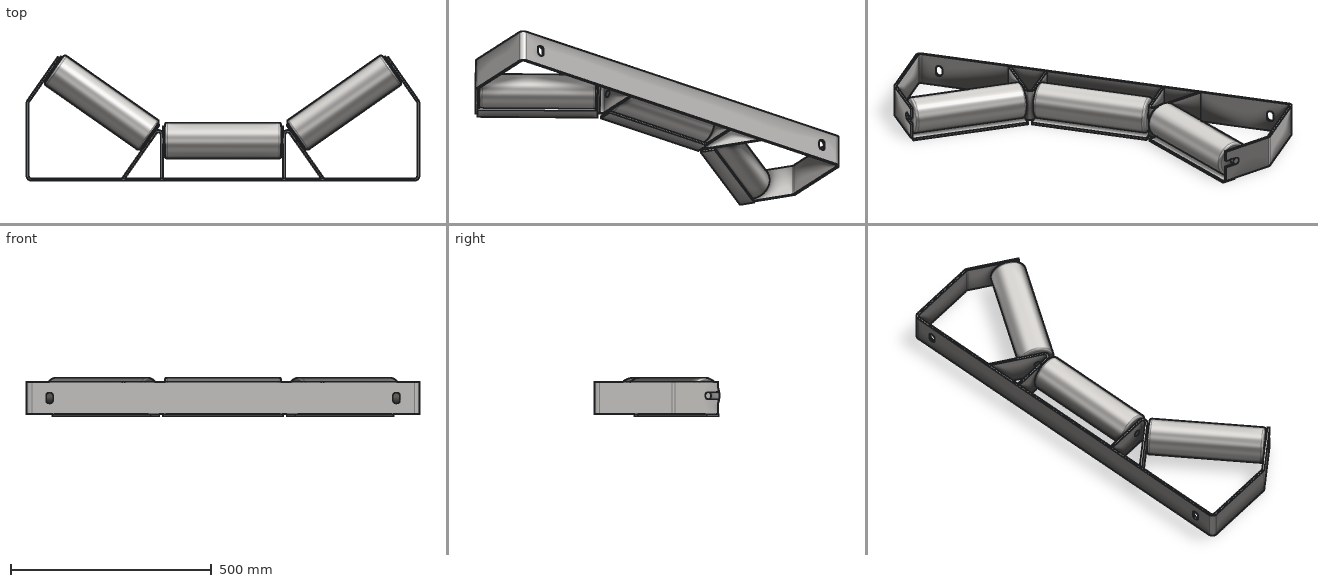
import cadquery as cq
import math

FRAME_LENGTH = 980.0
BAR_HEIGHT = 80.0
BAR_THICKNESS = 6.0
FRAME_BEND_RADIUS = 13.0
BRACKET_BEND_RADIUS = 12.0
KNEE_Y = 197.0
ARM_LENGTH = 136.0
TILT = 35.0

MOUNT_X = 432.0
MOUNT_SLOT_WIDTH = 18.0
MOUNT_SLOT_HEIGHT = 27.0

ROLLER_DIAMETER = 90.0
ROLLER_LENGTH = 290.0
ROLLER_EDGE_RADIUS = 6.0
AXLE_DIAMETER = 18.0
AXLE_Z = 6.0
AXLE_FROM_TIP = 30.0
CENTRE_ROLLER_Y = 100.0
PLATE_GAP = 299.0
AXLE_LENGTH = PLATE_GAP + 2 * BAR_THICKNESS

STRIP_LENGTH = 300.0
STRIP_WIDTH = 37.0
STRIP_THICKNESS = 6.0
STRIP_OFFSET = 18.0

HALF_LENGTH = FRAME_LENGTH / 2
BAR_BOTTOM = -BAR_HEIGHT / 2
COS = math.cos(math.radians(TILT))
SIN = math.sin(math.radians(TILT))


def along(point, direction, distance):
    return (point[0] + direction[0] * distance, point[1] + direction[1] * distance)


ARM_DIRECTION = (-SIN, COS)
AXIS_OUTWARD = (COS, SIN)

KNEE = (HALF_LENGTH, KNEE_Y)
ARM_TIP = along(KNEE, ARM_DIRECTION, ARM_LENGTH)
AXLE_END = along(KNEE, ARM_DIRECTION, ARM_LENGTH - AXLE_FROM_TIP)
SIDE_ROLLER_CENTRE = along(AXLE_END, AXIS_OUTWARD, -AXLE_LENGTH / 2)

ROLLER_PLACES = [
    (0, CENTRE_ROLLER_Y, 0),
    (SIDE_ROLLER_CENTRE[0], SIDE_ROLLER_CENTRE[1], TILT),
    (-SIDE_ROLLER_CENTRE[0], SIDE_ROLLER_CENTRE[1], -TILT),
]


def place(body, location):
    x, y, angle = location
    return body.rotate((0, 0, 0), (0, 0, 1), angle).translate((x, y, 0))


def inner_line(outer):
    """Corners of a line one bar thickness to the left of the outer line, mitred at the bends."""
    angles = [math.atan2(b[1] - a[1], b[0] - a[0]) for a, b in zip(outer, outer[1:])]
    before = angles[:1] + angles
    after = angles + angles[-1:]
    corners = []
    for point, angle_in, angle_out in zip(outer, before, after):
        normal = (angle_in + angle_out) / 2 + math.pi / 2
        reach = BAR_THICKNESS / math.cos((angle_out - angle_in) / 2)
        corners.append(along(point, (math.cos(normal), math.sin(normal)), reach))
    return corners


def bent_bar(outer, bend_radius):
    """Upright bar following the outer corners, with the bar to their left and rounded bends."""
    inner = inner_line(outer)
    bar = (
        cq.Workplane("XY", origin=(0, 0, BAR_BOTTOM))
        .polyline(outer + inner[::-1])
        .close()
        .extrude(BAR_HEIGHT)
    )
    bends = [(corner, bend_radius) for corner in outer[1:-1]]
    bends += [(corner, bend_radius - BAR_THICKNESS) for corner in inner[1:-1]]
    for (x, y), radius in bends:
        bar = bar.edges(cq.selectors.NearestToPointSelector((x, y, 0))).fillet(radius)
    return bar


def axle_bore():
    """Cylinder along X that fills the axle's holes in both plates."""
    return (
        cq.Workplane("YZ", origin=(-AXLE_LENGTH / 2, 0, AXLE_Z))
        .circle(AXLE_DIAMETER / 2)
        .extrude(AXLE_LENGTH)
    )


def make_frame():
    left_knee = (-KNEE[0], KNEE[1])
    left_tip = (-ARM_TIP[0], ARM_TIP[1])
    corners = [left_tip, left_knee, (-HALF_LENGTH, 0), (HALF_LENGTH, 0), KNEE, ARM_TIP]
    frame = bent_bar(corners, FRAME_BEND_RADIUS)
    mount_slots = (
        cq.Workplane("XZ")
        .pushPoints([(-MOUNT_X, 0), (MOUNT_X, 0)])
        .slot2D(MOUNT_SLOT_HEIGHT, MOUNT_SLOT_WIDTH, 90)
        .extrude(-BAR_THICKNESS)
    )
    frame = frame.cut(mount_slots)

    opening = cq.Workplane("XY").box(
        AXLE_LENGTH, AXLE_FROM_TIP, AXLE_DIAMETER, centered=(True, False, True)
    )
    axle_slot = axle_bore().union(opening.translate((0, 0, AXLE_Z)))
    for location in ROLLER_PLACES[1:]:
        frame = frame.cut(place(axle_slot, location))
    return frame


def make_right_bracket():
    """Inverted V standing on the long wall between the centre roller and the right roller."""
    upright_x = PLATE_GAP / 2
    leaning_face = along(AXLE_END, AXIS_OUTWARD, -(BAR_THICKNESS + PLATE_GAP))
    slope_x = ARM_DIRECTION[0] / ARM_DIRECTION[1]
    apex_y = leaning_face[1] + (upright_x - leaning_face[0]) / slope_x
    foot_x = leaning_face[0] - leaning_face[1] * slope_x

    bracket = bent_bar([(foot_x, 0), (upright_x, apex_y), (upright_x, 0)], BRACKET_BEND_RADIUS)
    trim = cq.Workplane("XY").box(FRAME_LENGTH, 2 * BAR_THICKNESS, BAR_HEIGHT)
    bracket = bracket.cut(trim)
    for location in ROLLER_PLACES[:2]:
        bracket = bracket.cut(place(axle_bore(), location))
    return bracket


def make_roller(location):
    drum = (
        cq.Workplane("YZ", origin=(-ROLLER_LENGTH / 2, 0, AXLE_Z))
        .circle(ROLLER_DIAMETER / 2)
        .extrude(ROLLER_LENGTH)
        .edges("%CIRCLE")
        .fillet(ROLLER_EDGE_RADIUS)
    )
    return place(drum.union(axle_bore()), location)


def make_strip(location):
    strip = cq.Workplane("XY", origin=(0, STRIP_OFFSET, BAR_BOTTOM - STRIP_THICKNESS / 2)).box(
        STRIP_LENGTH, STRIP_WIDTH, STRIP_THICKNESS
    )
    return place(strip, location)


frame = make_frame()
right_bracket = make_right_bracket()
left_bracket = right_bracket.mirror("YZ")
rollers = [make_roller(location) for location in ROLLER_PLACES]
strips = [make_strip(location) for location in ROLLER_PLACES]

bodies = [frame, right_bracket, left_bracket] + rollers + strips
result = cq.Compound.makeCompound([body.val() for body in bodies])